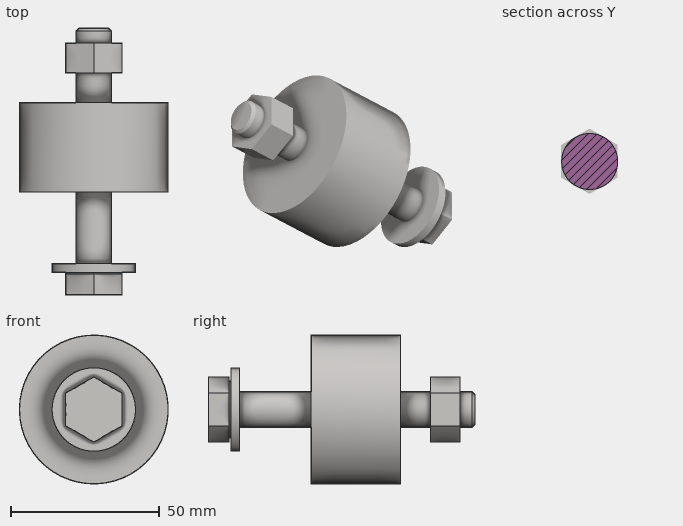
import cadquery as cq
import math

SHANK_DIAMETER = 12.0
TIP_CHAMFER = 1.0

ROLLER_DIAMETER = 50.0
ROLLER_WIDTH = 30.0

WASHER_DIAMETER = 28.0
WASHER_THICKNESS = 3.0

WRENCH_SIZE = 19.0
HEX_SIDES = 6
HEAD_HEIGHT = 7.5
COLLAR_HEIGHT = 0.6
NUT_HEIGHT = 10.0

WASHER_TO_ROLLER = 24.0
ROLLER_TO_NUT = 10.0
TIP_PROTRUSION = 5.0

roller_start = 0.0
washer_start = roller_start - WASHER_TO_ROLLER - WASHER_THICKNESS
collar_start = washer_start - COLLAR_HEIGHT
head_start = washer_start - HEAD_HEIGHT
nut_start = roller_start + ROLLER_WIDTH + ROLLER_TO_NUT
tip_end = nut_start + NUT_HEIGHT + TIP_PROTRUSION


def section_plane(y_start):
    """Plane across the axis at y_start, extruding toward +Y, with its local Y along Z."""
    return cq.Workplane(cq.Plane(origin=(0, y_start, 0), xDir=(-1, 0, 0), normal=(0, 1, 0)))


def disc(diameter, y_start, length):
    return section_plane(y_start).circle(diameter / 2).extrude(length)


def hexagon(y_start, length):
    """Hexagonal prism with two corners pointing along +Z and -Z."""
    across_corners = WRENCH_SIZE / math.cos(math.pi / HEX_SIDES)
    corner_up_angle = 90
    return (
        section_plane(y_start)
        .transformed(rotate=(0, 0, corner_up_angle))
        .polygon(HEX_SIDES, across_corners)
        .extrude(length)
    )


def make_bolt():
    shank = disc(SHANK_DIAMETER, washer_start, tip_end - washer_start)
    shank = shank.faces(">Y").chamfer(TIP_CHAMFER)
    collar = disc(WRENCH_SIZE, collar_start, COLLAR_HEIGHT)
    head = hexagon(head_start, HEAD_HEIGHT - COLLAR_HEIGHT)
    return head.union(collar).union(shank)


def make_washer():
    return disc(WASHER_DIAMETER, washer_start, WASHER_THICKNESS)


def make_roller():
    return disc(ROLLER_DIAMETER, roller_start, ROLLER_WIDTH)


def make_nut():
    return hexagon(nut_start, NUT_HEIGHT)


result = make_bolt().union(make_washer()).union(make_roller()).union(make_nut())